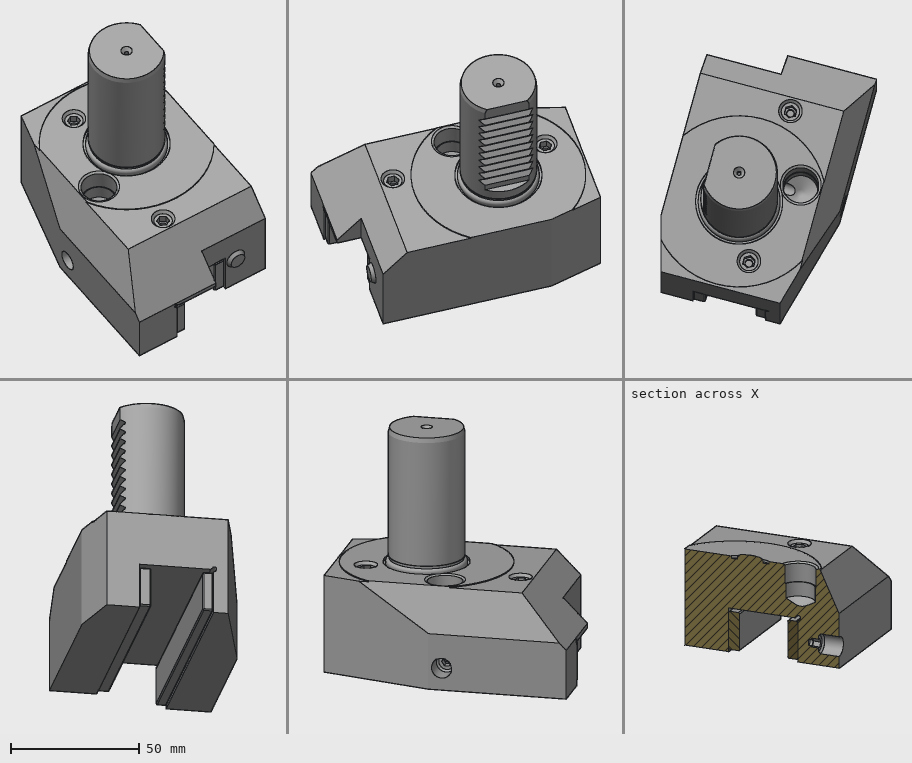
import cadquery as cq
import math


LEFT_X = -35.0
RIGHT_X = 65.0
STEP_X = 55.2
STEP_Y = -2.0
FRONT_Y = -38.0
BACK_Y = 28.0
LEFT_FRONT_Y = -26.0
LEFT_BACK_Y = 22.2
SIDE_TAPER = math.radians(15)
FACE_Z = 39.6
DISC_Z = 40.0
DISC_RADIUS = 34.1
TOP_FRONT_Y = -30.0
FRONT_SLOPE_Z = 22.8
SIDE_SLOPE_Z = 20.0

SLOT_BACK_Y = 9.2
SLOT_FRONT_Y = -20.2
SLOT_HEIGHT = 18.1
RELIEF_RADIUS = 0.8
RELIEF_OFFSET = 0.4

BACK_BAR_WIDTH = 4.8
FRONT_BAR_WIDTH = 4.2
BAR_BOTTOM_Z = 1.0
BAR_TOP_Z = 17.0
BAR_END_GAP = 0.5
BAR_CHAMFER = 0.5

SHANK_RADIUS = 15.0
SHANK_LENGTH = 55.0
TOP_Z = DISC_Z + SHANK_LENGTH
TIP_CHAMFER_WIDTH = 0.5
TIP_CHAMFER_HEIGHT = 2.0
NECK_RADIUS = 14.7
NECK_TOP_Z = 42.6
BEAD_TOP_Z = 41.5
BEAD_RADIUS = 16.0
GROOVE_RADIUS = 17.0
GROOVE_DEPTH = 1.0
FLAT_Y = 12.0
FLAT_BOTTOM_Z = 47.2
TOOTH_COUNT = 10
TOOTH_PITCH = 4.0
TOOTH_DEPTH = 1.8
FIRST_TOOTH_Z = 51.7
CENTRE_HOLE_RADIUS = 2.2
CENTRE_DRILL_RADIUS = 0.8
CENTRE_DRILL_DEPTH = 4.0

COOLANT_X = 12.5
COOLANT_Y = -21.5
COOLANT_RADIUS = 7.0
COOLANT_RIM_RADIUS = 8.0
COOLANT_CHAMFER_DEPTH = 0.5
COOLANT_STEP_DEPTH = 8.1
COOLANT_LOWER_RADIUS = 6.7
COOLANT_DEPTH = 14.0
DRILL_HALF_ANGLE = math.radians(59)
FEED_RADIUS = 2.2
FEED_Z = 25.6
FEED_LENGTH = 15.0

TOP_SCREWS_X = (-22.0, 40.0)
TOP_SCREW_Y = -9.9
TOP_SCREW_RADIUS = 3.6
TOP_SINK_RADIUS = 4.6
TOP_SINK_DEPTH = 1.2
TOP_HEX_CORNERS = 5.0
FRONT_SCREW_X = 15.0
FRONT_SCREW_Z = 9.0
FRONT_HOLE_RADIUS = 4.0
FRONT_HOLE_DEPTH = 8.0
FRONT_SCREW_RADIUS = 3.2
FRONT_SINK_DEPTH = 0.8
FRONT_HEX_CORNERS = 4.0
SOCKET_DEPTH = 3.0
SOCKET_DRILL_RATIO = 0.6

PLUG_Y = 14.0
PLUG_Z = 15.0
PLUG_RADIUS = 4.2
PLUG_TIP_RADIUS = 3.2
PLUG_HEIGHT = 1.6

MARGIN = 5.0


def box(x0, x1, y0, y1, z0, z1):
    """Box between two corners."""
    return cq.Workplane("XY").box(x1 - x0, y1 - y0, z1 - z0, centered=False).translate((x0, y0, z0))


def revolved(points):
    """Solid of revolution about Z from (radius, height) points."""
    return cq.Workplane("XZ").polyline(points).close().revolve(360, (0, 0, 0), (0, 1, 0))


def block():
    """Tapered, stepped block with two slopes and a slightly raised disc on top."""
    outline = [
        (LEFT_X, LEFT_FRONT_Y),
        (LEFT_X + (LEFT_FRONT_Y - FRONT_Y) / math.tan(SIDE_TAPER), FRONT_Y),
        (RIGHT_X, FRONT_Y),
        (RIGHT_X, STEP_Y),
        (STEP_X, STEP_Y),
        (STEP_X, BACK_Y),
        (LEFT_X + (BACK_Y - LEFT_BACK_Y) / math.tan(SIDE_TAPER), BACK_Y),
        (LEFT_X, LEFT_BACK_Y),
    ]
    body = cq.Workplane("XY").polyline(outline).close().extrude(FACE_Z)
    disc = cq.Workplane("XY").polyline(outline).close().extrude(DISC_Z)
    disc = disc.intersect(cq.Workplane("XY").circle(DISC_RADIUS).extrude(DISC_Z))
    body = body.union(disc)

    run = TOP_FRONT_Y - FRONT_Y
    rise = FACE_Z - FRONT_SLOPE_Z
    front_slope = (
        cq.Workplane("YZ", origin=(LEFT_X, 0, 0))
        .polyline([(FRONT_Y - run, FRONT_SLOPE_Z - rise), (TOP_FRONT_Y + run, FACE_Z + rise),
                   (FRONT_Y - run, FACE_Z + rise)])
        .close().extrude(RIGHT_X - LEFT_X)
    )
    slope_height = DISC_Z + MARGIN - SIDE_SLOPE_Z
    side_slope = (
        cq.Workplane("XZ", origin=(0, BACK_Y, 0))
        .polyline([(RIGHT_X + MARGIN, SIDE_SLOPE_Z - MARGIN), (RIGHT_X + MARGIN, DISC_Z + MARGIN),
                   (RIGHT_X - slope_height, DISC_Z + MARGIN)])
        .close().extrude(BACK_Y - FRONT_Y)
    )
    return body.cut(front_slope).cut(side_slope)


def slot():
    """Slot along X with a rounded 45 degree relief in its upper front corner."""
    channel = box(LEFT_X, RIGHT_X, SLOT_FRONT_Y, SLOT_BACK_Y, 0, SLOT_HEIGHT)
    reach = 2 * RELIEF_RADIUS
    relief = (
        cq.Workplane("YZ", origin=(LEFT_X, SLOT_FRONT_Y - RELIEF_OFFSET + reach / 2,
                                   SLOT_HEIGHT + RELIEF_OFFSET - reach / 2))
        .slot2D(reach * math.sqrt(2) + 2 * RELIEF_RADIUS, 2 * RELIEF_RADIUS, -45)
        .extrude(RIGHT_X - LEFT_X)
    )
    return channel.union(relief)


def shank():
    """Round shank with a tip chamfer, a neck and a rounded sealing bead at its foot."""
    tip_radius = SHANK_RADIUS - TIP_CHAMFER_WIDTH
    bead_base_z = DISC_Z - GROOVE_DEPTH
    bead_width = BEAD_RADIUS - NECK_RADIUS
    bead_height = BEAD_TOP_Z - DISC_Z
    bead_middle = (NECK_RADIUS + bead_width * math.sqrt(0.5), DISC_Z + bead_height * math.sqrt(0.5))
    body = (
        cq.Workplane("XZ")
        .moveTo(0, bead_base_z)
        .lineTo(BEAD_RADIUS, bead_base_z)
        .lineTo(BEAD_RADIUS, DISC_Z)
        .threePointArc(bead_middle, (NECK_RADIUS, BEAD_TOP_Z))
        .lineTo(NECK_RADIUS, NECK_TOP_Z)
        .lineTo(SHANK_RADIUS, NECK_TOP_Z)
        .lineTo(SHANK_RADIUS, TOP_Z - TIP_CHAMFER_HEIGHT)
        .lineTo(tip_radius, TOP_Z)
        .lineTo(0, TOP_Z)
        .close()
        .revolve(360, (0, 0, 0), (0, 1, 0))
    )
    flat = box(-SHANK_RADIUS, SHANK_RADIUS, FLAT_Y, SHANK_RADIUS + MARGIN, FLAT_BOTTOM_Z, TOP_Z)
    body = body.cut(flat)
    for index in range(TOOTH_COUNT):
        body = body.cut(tooth_notch(FIRST_TOOTH_Z + index * TOOTH_PITCH))
    return body.cut(centre_hole())


def tooth_notch(z):
    """90 degree notch across the shank flat, with its root at height z."""
    return (
        cq.Workplane("YZ", origin=(-SHANK_RADIUS, 0, z))
        .polyline([(FLAT_Y - TOOTH_DEPTH, 0), (FLAT_Y, TOOTH_DEPTH), (FLAT_Y, -TOOTH_DEPTH)])
        .close().extrude(2 * SHANK_RADIUS)
    )


def centre_hole():
    """Conical centre hole with a small pilot in the shank tip."""
    cone_depth = CENTRE_HOLE_RADIUS - CENTRE_DRILL_RADIUS
    return revolved([
        (0, TOP_Z),
        (CENTRE_HOLE_RADIUS, TOP_Z),
        (CENTRE_DRILL_RADIUS, TOP_Z - cone_depth),
        (CENTRE_DRILL_RADIUS, TOP_Z - CENTRE_DRILL_DEPTH),
        (0, TOP_Z - CENTRE_DRILL_DEPTH),
    ])


def bead_groove():
    """Ring groove in the disc around the sealing bead."""
    return (
        cq.Workplane("XY", origin=(0, 0, DISC_Z - GROOVE_DEPTH))
        .circle(GROOVE_RADIUS).circle(BEAD_RADIUS).extrude(GROOVE_DEPTH)
    )


def coolant_hole():
    """Chamfered, stepped blind hole with a drill point, fed by a bore along Y."""
    step_z = DISC_Z - COOLANT_STEP_DEPTH
    floor_z = DISC_Z - COOLANT_DEPTH
    hole = revolved([
        (0, DISC_Z),
        (COOLANT_RIM_RADIUS, DISC_Z),
        (COOLANT_RADIUS, DISC_Z - COOLANT_CHAMFER_DEPTH),
        (COOLANT_RADIUS, step_z),
        (COOLANT_LOWER_RADIUS, step_z),
        (COOLANT_LOWER_RADIUS, floor_z),
        (0, floor_z - COOLANT_LOWER_RADIUS / math.tan(DRILL_HALF_ANGLE)),
    ]).translate((COOLANT_X, COOLANT_Y, 0))
    feed = cq.Workplane("XZ", origin=(COOLANT_X, COOLANT_Y, FEED_Z)).circle(FEED_RADIUS).extrude(-FEED_LENGTH)
    return hole.union(feed)


def screw_recess(rim_radius, screw_radius, sink_depth, hex_corners):
    """Countersink down to a screw face with a hexagon socket, opening at Z = 0."""
    sink = revolved([(0, 0), (rim_radius, 0), (screw_radius, -sink_depth), (0, -sink_depth)])
    socket = cq.Workplane("XY").polygon(6, hex_corners).extrude(-sink_depth - SOCKET_DEPTH)
    drill_radius = SOCKET_DRILL_RATIO * hex_corners / 2
    drill = cq.Workplane("XY").circle(drill_radius).extrude(-sink_depth - SOCKET_DEPTH - drill_radius)
    return sink.union(socket).union(drill)


def front_screw_hole():
    """Deep round hole in the front face, ending on a socket screw."""
    hole = cq.Workplane("XY").circle(FRONT_HOLE_RADIUS).extrude(-FRONT_HOLE_DEPTH)
    recess = screw_recess(FRONT_HOLE_RADIUS, FRONT_SCREW_RADIUS, FRONT_SINK_DEPTH, FRONT_HEX_CORNERS)
    hole = hole.union(recess.translate((0, 0, -FRONT_HOLE_DEPTH)))
    return hole.rotate((0, 0, 0), (1, 0, 0), 90).translate((FRONT_SCREW_X, FRONT_Y, FRONT_SCREW_Z))


def plug():
    """Conical plug head standing on the stepped +X face."""
    head = revolved([(0, 0), (PLUG_RADIUS, 0), (PLUG_TIP_RADIUS, PLUG_HEIGHT), (0, PLUG_HEIGHT)])
    return head.rotate((0, 0, 0), (0, 1, 0), 90).translate((STEP_X, PLUG_Y, PLUG_Z))


def make_housing():
    """Block and shank in one piece, with the slot, holes and plug."""
    body = block().cut(slot()).cut(bead_groove()).union(shank()).union(plug())
    body = body.cut(coolant_hole()).cut(front_screw_hole())
    for x in TOP_SCREWS_X:
        recess = screw_recess(TOP_SINK_RADIUS, TOP_SCREW_RADIUS, TOP_SINK_DEPTH, TOP_HEX_CORNERS)
        face_z = DISC_Z if math.hypot(x, TOP_SCREW_Y) < DISC_RADIUS else FACE_Z
        body = body.cut(recess.translate((x, TOP_SCREW_Y, face_z)))
    return body


def make_clamping_bar(wall_y, inner_y, housing_end_x):
    """Bar along X with all edges chamfered, lying against one wall of the slot."""
    bar = box(LEFT_X + BAR_END_GAP, housing_end_x - BAR_END_GAP,
              min(wall_y, inner_y), max(wall_y, inner_y), BAR_BOTTOM_Z, BAR_TOP_Z)
    return bar.edges().chamfer(BAR_CHAMFER)


housing = make_housing()
bar_places = [
    (SLOT_BACK_Y, SLOT_BACK_Y - BACK_BAR_WIDTH, STEP_X),
    (SLOT_FRONT_Y, SLOT_FRONT_Y + FRONT_BAR_WIDTH, RIGHT_X),
]
clamping_bars = [make_clamping_bar(*place).val() for place in bar_places]

result = cq.Compound.makeCompound([housing.val(), *clamping_bars])